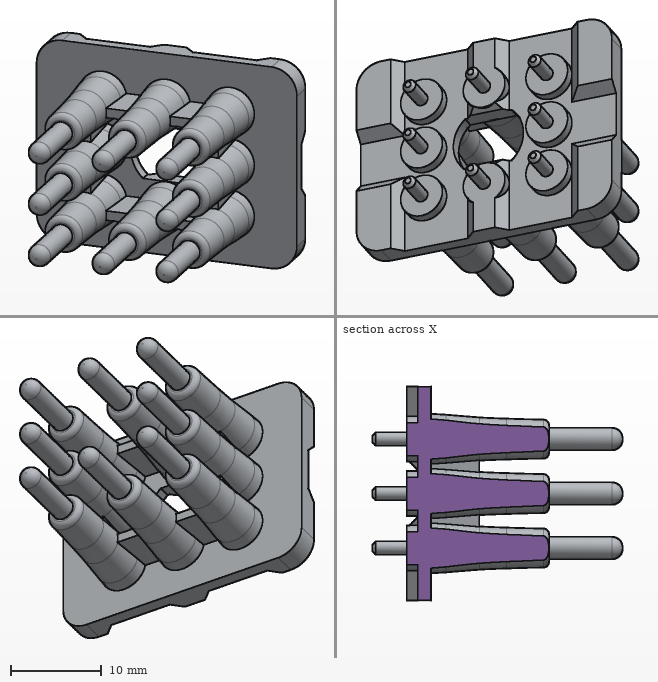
import cadquery as cq


PLATE_WIDTH = 30.6
PLATE_HEIGHT = 23.6
PLATE_THICKNESS = 2.7
CORNER_RADIUS = 3.0

WINDOW_DIAMETER = 8.4
WINDOW_HEIGHT = 6.3

CHANNEL_DEPTH = 1.2
LEVEL_CHANNEL_FLOOR = 5.2
UPRIGHT_CHANNEL_FLOOR = 7.5

PITCH_X = 7.5
PITCH_Z = 6.0
BOSS_DIAMETER = 5.0

UPRIGHT_CHANNEL_OFFSET = BOSS_DIAMETER / 2 + UPRIGHT_CHANNEL_FLOOR / 2

SLEEVE_ROOT_DIAMETER = 5.6
SLEEVE_COLLAR_DIAMETER = 5.4
SLEEVE_WAIST_DIAMETER = 4.8
SLEEVE_NECK_DIAMETER = 4.55
SLEEVE_TIP_DIAMETER = 4.3
SLEEVE_COLLAR_LENGTH = 1.6
SLEEVE_WAIST_LENGTH = 5.3
SLEEVE_NECK_LENGTH = 8.25
SLEEVE_LENGTH = 13.0
SLEEVE_TIP_FILLET = 0.7

PIN_DIAMETER = 2.5
PIN_REACH = 21.1
PIN_TIP_FILLET = 1.2
TAIL_DIAMETER = 1.5
TAIL_LENGTH = 3.8
TAIL_CHAMFER = 0.4

RIB_THICKNESS = 1.1
RIB_DEPTH = SLEEVE_WAIST_LENGTH


def cylinder_y(diameter, start, end):
    """Cylinder on the Y axis from start to end."""
    return (
        cq.Workplane("XZ", origin=(0, start, 0))
        .circle(diameter / 2)
        .extrude(start - end)
    )


def box_y(width, height, start, end):
    """Box centred on the Y axis from start to end."""
    return (
        cq.Workplane("XZ", origin=(0, start, 0))
        .rect(width, height)
        .extrude(start - end)
    )


def make_channel(floor_width, length):
    """Channel along Z, centred on the YZ plane, opening at the back of the plate."""
    floor = PLATE_THICKNESS - CHANNEL_DEPTH
    half_floor = floor_width / 2
    half_mouth = half_floor + CHANNEL_DEPTH
    return (
        cq.Workplane("XY", origin=(0, 0, -length / 2))
        .moveTo(-half_floor, floor)
        .lineTo(half_floor, floor)
        .lineTo(half_mouth, PLATE_THICKNESS)
        .lineTo(-half_mouth, PLATE_THICKNESS)
        .close()
        .extrude(length)
    )


def make_plate():
    """Rounded plate with one level and two upright channels across its back."""
    plate = box_y(PLATE_WIDTH, PLATE_HEIGHT, 0, PLATE_THICKNESS)
    plate = plate.edges("|Y").fillet(CORNER_RADIUS)
    upright = make_channel(UPRIGHT_CHANNEL_FLOOR, PLATE_HEIGHT)
    for side in (-1, 1):
        plate = plate.cut(upright.translate((side * UPRIGHT_CHANNEL_OFFSET, 0, 0)))
    level = make_channel(LEVEL_CHANNEL_FLOOR, PLATE_WIDTH)
    return plate.cut(level.rotate((0, 0, 0), (0, 1, 0), 90))


def make_window():
    """Round opening with a flat top and bottom."""
    disc = cylinder_y(WINDOW_DIAMETER, 0, PLATE_THICKNESS)
    return disc.intersect(box_y(WINDOW_DIAMETER, WINDOW_HEIGHT, 0, PLATE_THICKNESS))


def make_sleeve():
    """Stepped-taper sleeve with a rounded tip, on the Y axis."""
    sleeve = (
        cq.Workplane("XY")
        .moveTo(0, 0)
        .lineTo(SLEEVE_ROOT_DIAMETER / 2, 0)
        .lineTo(SLEEVE_COLLAR_DIAMETER / 2, -SLEEVE_COLLAR_LENGTH)
        .lineTo(SLEEVE_WAIST_DIAMETER / 2, -SLEEVE_WAIST_LENGTH)
        .lineTo(SLEEVE_NECK_DIAMETER / 2, -SLEEVE_NECK_LENGTH)
        .lineTo(SLEEVE_TIP_DIAMETER / 2, -SLEEVE_LENGTH)
        .lineTo(0, -SLEEVE_LENGTH)
        .close()
        .revolve(360, (0, 0, 0), (0, 1, 0))
    )
    return sleeve.faces("<Y").edges().fillet(SLEEVE_TIP_FILLET)


def make_contact():
    """Back boss, sleeve, domed pin and chamfered solder tail, on the Y axis."""
    boss = cylinder_y(BOSS_DIAMETER, 0, PLATE_THICKNESS)
    pin = cylinder_y(PIN_DIAMETER, 0, -PIN_REACH)
    pin = pin.faces("<Y").edges().fillet(PIN_TIP_FILLET)
    tail = cylinder_y(TAIL_DIAMETER, 0, PLATE_THICKNESS + TAIL_LENGTH)
    tail = tail.faces(">Y").edges().chamfer(TAIL_CHAMFER)
    return boss.union(make_sleeve()).union(pin).union(tail)


def make_ribs():
    """Ribs from contact to contact along all four sides of the ring."""
    level = box_y(2 * PITCH_X, RIB_THICKNESS, 0, -RIB_DEPTH)
    upright = box_y(RIB_THICKNESS, 2 * PITCH_Z, 0, -RIB_DEPTH)
    ribs = cq.Workplane("XZ")
    for side in (-1, 1):
        ribs = ribs.add(level.translate((0, 0, side * PITCH_Z)))
        ribs = ribs.add(upright.translate((side * PITCH_X, 0, 0)))
    return ribs.combine()


def contact_places():
    """Grid places of the contacts, leaving out the centre."""
    places = []
    for column in (-1, 0, 1):
        for row in (-1, 0, 1):
            if (column, row) != (0, 0):
                places.append((column * PITCH_X, 0, row * PITCH_Z))
    return places


part = make_plate().union(make_ribs())
contact = make_contact()
for place in contact_places():
    part = part.union(contact.translate(place))
result = part.cut(make_window())